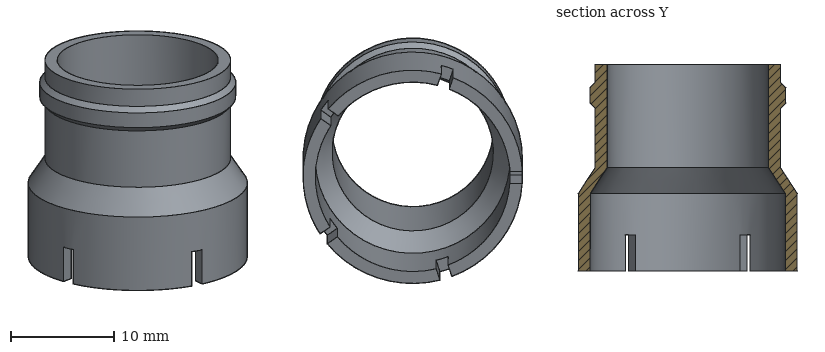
import cadquery as cq

skirt_outer_diameter = 21.25
neck_outer_diameter = 18.0
ring_diameter = 19.0
wall_thickness = 1.2

total_height = 20.0
shoulder_bottom = 7.5
shoulder_top = 10.0
ring_bottom = 15.75
ring_top = 18.25

slot_count = 5
slot_width = 1.2
slot_height = 3.5
first_slot_angle = -90.0

skirt_outer_radius = skirt_outer_diameter / 2
skirt_inner_radius = skirt_outer_radius - wall_thickness
neck_outer_radius = neck_outer_diameter / 2
neck_inner_radius = neck_outer_radius - wall_thickness
ring_radius = ring_diameter / 2
ring_bevel = ring_radius - neck_outer_radius


def make_sleeve():
    """Stepped tube whose conical shoulder and bore keep the same radial wall."""
    profile = [
        (skirt_inner_radius, 0),
        (skirt_outer_radius, 0),
        (skirt_outer_radius, shoulder_bottom),
        (neck_outer_radius, shoulder_top),
        (neck_outer_radius, ring_bottom),
        (ring_radius, ring_bottom + ring_bevel),
        (ring_radius, ring_top - ring_bevel),
        (neck_outer_radius, ring_top),
        (neck_outer_radius, total_height),
        (neck_inner_radius, total_height),
        (neck_inner_radius, shoulder_top),
        (skirt_inner_radius, shoulder_bottom),
    ]
    return cq.Workplane("XZ").polyline(profile).close().revolve(360, (0, 0, 0), (0, 1, 0))


def make_slot_cutter(angle):
    """Block reaching from the axis out past the skirt wall at the given angle."""
    reach = skirt_outer_diameter
    block = cq.Workplane("XY").box(reach, slot_width, slot_height, centered=(False, True, False))
    return block.rotate((0, 0, 0), (0, 0, 1), angle)


def cut_slots(body):
    """Cut evenly spaced slots through the lower rim."""
    for index in range(slot_count):
        angle = first_slot_angle + index * 360.0 / slot_count
        body = body.cut(make_slot_cutter(angle))
    return body


result = cut_slots(make_sleeve())